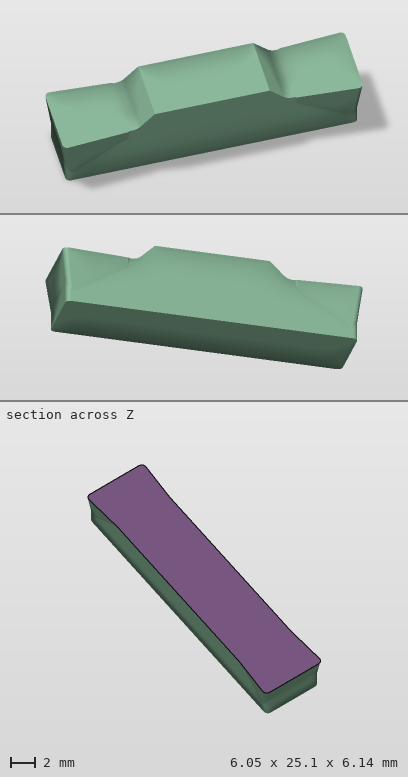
import cadquery as cq
import math

total_length = 25.06
total_height = 6.14

core_width = 5.2
core_length = 24.36
core_corner_radius = 0.4

shelf_height = 4.68
ridge_top_length = 9.6
ridge_flank_angle = 45
ridge_blend_radius = 1.0

head_tip_relief_angle = 7
head_flank_draft_angle = 6
head_side_angle = 3.8
head_end_angle = 27
head_tip_width = 6.1
head_flank_length = 5.48
head_root_length = 6.2
head_depth = 4.2
head_corner_radius = 0.4
head_tip_allowance = 1.0


def make_core():
    """Bar with rounded vertical corners and the ridge between two shelves."""
    half_length = core_length / 2
    half_ridge_top = ridge_top_length / 2
    flank_run = (total_height - shelf_height) / math.tan(math.radians(ridge_flank_angle))
    half_ridge_foot = half_ridge_top + flank_run

    profile = (
        cq.Workplane("YZ")
        .moveTo(-half_length, 0)
        .lineTo(half_length, 0)
        .lineTo(half_length, shelf_height)
        .lineTo(half_ridge_foot, shelf_height)
        .lineTo(half_ridge_top, total_height)
        .lineTo(-half_ridge_top, total_height)
        .lineTo(-half_ridge_foot, shelf_height)
        .lineTo(-half_length, shelf_height)
        .close()
    )
    core = profile.extrude(core_width / 2, both=True).edges("|Z").fillet(core_corner_radius)

    ridge_feet = cq.selectors.BoxSelector(
        (-core_width, -half_ridge_foot - ridge_blend_radius / 2, shelf_height - ridge_blend_radius / 2),
        (core_width, half_ridge_foot + ridge_blend_radius / 2, shelf_height + ridge_blend_radius / 2),
    )
    return core.edges("|X").edges(ridge_feet).fillet(ridge_blend_radius)


def make_head():
    """Head at the +Y end: drafted flanks and a leaning tip face below the shelf."""
    tip = total_length / 2
    step = tip - head_flank_length
    root = tip - head_root_length
    half_tip = head_tip_width / 2
    half_step = half_tip - head_flank_length * math.tan(math.radians(head_side_angle))
    half_root = half_step - (step - root) * math.tan(math.radians(head_end_angle))

    blank_end = tip + head_tip_allowance
    half_blank_end = half_tip + head_tip_allowance * math.tan(math.radians(head_side_angle))

    outline = [
        (half_blank_end, blank_end),
        (half_step, step),
        (half_root, root),
        (-half_root, root),
        (-half_step, step),
        (-half_blank_end, blank_end),
    ]
    blank = (
        cq.Workplane("XY")
        .workplane(offset=shelf_height)
        .polyline(outline)
        .close()
        .extrude(-head_depth, taper=head_flank_draft_angle)
    )

    tip_lean = head_depth * math.tan(math.radians(head_tip_relief_angle))
    head_bottom = shelf_height - head_depth
    tip_profile = (
        cq.Workplane("YZ")
        .moveTo(root, shelf_height)
        .lineTo(tip, shelf_height)
        .lineTo(tip - tip_lean, head_bottom)
        .lineTo(root, head_bottom)
        .close()
        .extrude(half_blank_end, both=True)
    )
    head = blank.intersect(tip_profile)

    tip_corners = head.faces(">Y").edges("not #Z")
    return tip_corners.fillet(head_corner_radius)


head = make_head()
result = make_core().union(head).union(head.mirror("XZ")).clean()